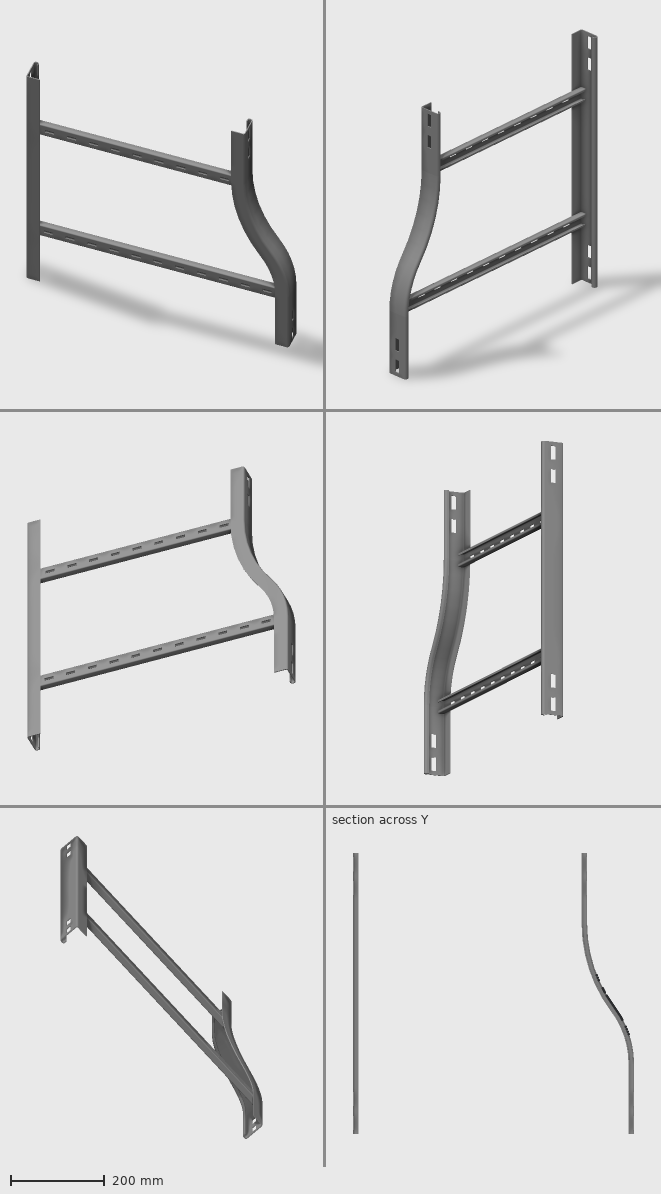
import cadquery as cq
import math

width = 600.0
height = 600.0
taper = 100.0

rail_depth = 50.0
rail_sheet = 2.1
front_flange = 31.0
back_flange = 12.0
rail_lip = 9.0
rail_bend = 5.0

straight_end = 150.0
upper_bend_radius = 300.0
bend_rise = height - 2 * straight_end
bend_angle = 2 * math.atan(taper / bend_rise)
lower_bend_radius = bend_rise / math.sin(bend_angle) - upper_bend_radius

rail_slot_length = 30.0
rail_slot_width = 11.0
rail_slot_offsets = (24.0, 75.0)

slot_cutter_depth = 7.0

rung_height = 30.0
rung_sheet = 1.5
rung_depth = 15.0
rung_end_gap = 5.5
rung_lip = 5.5
rung_bend = 2.1

rung_slot_length = 20.5
rung_slot_height = 6.5
rung_slot_pitch = straight_end / 3
lower_slot_count = 11
upper_slot_count = 9
upper_slot_shift = 3.0


def follow_bends(outline, points, radius):
    """Draw from the first point to the last, rounding every corner between them."""
    path = [cq.Vector(*point) for point in points]
    for before, corner, after in zip(path, path[1:], path[2:]):
        arc_start = corner + (before - corner).normalized() * radius
        arc_end = corner + (after - corner).normalized() * radius
        outline = outline.lineTo(arc_start.x, arc_start.y)
        outline = outline.tangentArcPoint((arc_end.x, arc_end.y), relative=False)
    return outline.lineTo(path[-1].x, path[-1].y)


def folded_sheet(plane, outside, inside, sheet, bend_radius):
    """Closed section of a folded sheet, from the points of its outside and inside faces."""
    outline = plane.moveTo(*outside[0])
    outline = follow_bends(outline, outside, bend_radius)
    outline = outline.lineTo(*inside[-1])
    outline = follow_bends(outline, inside[::-1], bend_radius - sheet)
    return outline.close()


def rail_section(web_x, inward):
    """Rail section at the bottom end; inward is +1 or -1, the X direction its flanges point."""
    def at(across, y):
        return (web_x + inward * across, y)

    lip_end = rail_depth - rail_lip
    inner_back = rail_depth - rail_sheet
    outside = [at(front_flange, 0), at(0, 0), at(0, rail_depth),
               at(back_flange, rail_depth), at(back_flange, lip_end)]
    inside = [at(front_flange, rail_sheet), at(rail_sheet, rail_sheet), at(rail_sheet, inner_back),
              at(back_flange - rail_sheet, inner_back), at(back_flange - rail_sheet, lip_end)]
    return folded_sheet(cq.Workplane("XY"), outside, inside, rail_sheet, rail_bend)


def rail_slot(web_x, z):
    """Cutter for one coupling slot through a rail web."""
    return (
        cq.Workplane("XY")
        .box(slot_cutter_depth, rail_slot_width, rail_slot_length)
        .translate((web_x, rail_depth / 2, z))
    )


def cut_rail_slots(rail, bottom_x, top_x):
    """Cut the slots at both ends of a rail whose web stands at bottom_x below and top_x above."""
    for offset in rail_slot_offsets:
        rail = rail.cut(rail_slot(bottom_x, offset))
        rail = rail.cut(rail_slot(top_x, height - offset))
    return rail


def make_straight_rail():
    rail = rail_section(0, 1).extrude(height)
    return cut_rail_slots(rail, 0, 0)


def bent_rail_path():
    """S-shaped path: straight, bend inward, bend back, straight."""
    bend_start = (width, straight_end)
    lower_middle = (width - lower_bend_radius * (1 - math.cos(bend_angle / 2)),
                    straight_end + lower_bend_radius * math.sin(bend_angle / 2))
    joint = (width - lower_bend_radius * (1 - math.cos(bend_angle)),
             straight_end + lower_bend_radius * math.sin(bend_angle))
    top_x = width - taper
    upper_middle = (top_x + upper_bend_radius * (1 - math.cos(bend_angle / 2)),
                    height - straight_end - upper_bend_radius * math.sin(bend_angle / 2))
    return (
        cq.Workplane("XZ")
        .moveTo(width, 0)
        .lineTo(*bend_start)
        .threePointArc(lower_middle, joint)
        .threePointArc(upper_middle, (top_x, height - straight_end))
        .lineTo(top_x, height)
    )


def make_bent_rail():
    rail = rail_section(width, -1).sweep(bent_rail_path())
    return cut_rail_slots(rail, width, width - taper)


def make_rung(rail_distance, z, slot_count, slot_shift=0.0):
    """Rung at height z between rails whose outer faces are rail_distance apart."""
    bottom = z - rung_height / 2
    top = z + rung_height / 2
    front = rail_sheet
    back = front + rung_depth
    outside = [(back, bottom + rung_lip), (back, bottom), (front, bottom),
               (front, top), (back, top), (back, top - rung_lip)]
    inside = [(back - rung_sheet, bottom + rung_lip), (back - rung_sheet, bottom + rung_sheet),
              (front + rung_sheet, bottom + rung_sheet), (front + rung_sheet, top - rung_sheet),
              (back - rung_sheet, top - rung_sheet), (back - rung_sheet, top - rung_lip)]
    end_plane = cq.Workplane("YZ", origin=(rung_end_gap, 0, 0))
    section = folded_sheet(end_plane, outside, inside, rung_sheet, rung_bend)
    rung = section.extrude(rail_distance - 2 * rung_end_gap)
    first_slot_x = rail_distance / 2 + slot_shift - (slot_count - 1) / 2 * rung_slot_pitch
    for index in range(slot_count):
        x = first_slot_x + index * rung_slot_pitch
        slot = cq.Workplane("XY").box(rung_slot_length, slot_cutter_depth, rung_slot_height)
        rung = rung.cut(slot.translate((x, front, z)))
    return rung


straight_rail = make_straight_rail()
bent_rail = make_bent_rail()
lower_rung = make_rung(width, straight_end, lower_slot_count)
upper_rung = make_rung(width - taper, height - straight_end, upper_slot_count, upper_slot_shift)

result = cq.Compound.makeCompound([
    straight_rail.val(), bent_rail.val(), lower_rung.val(), upper_rung.val(),
])